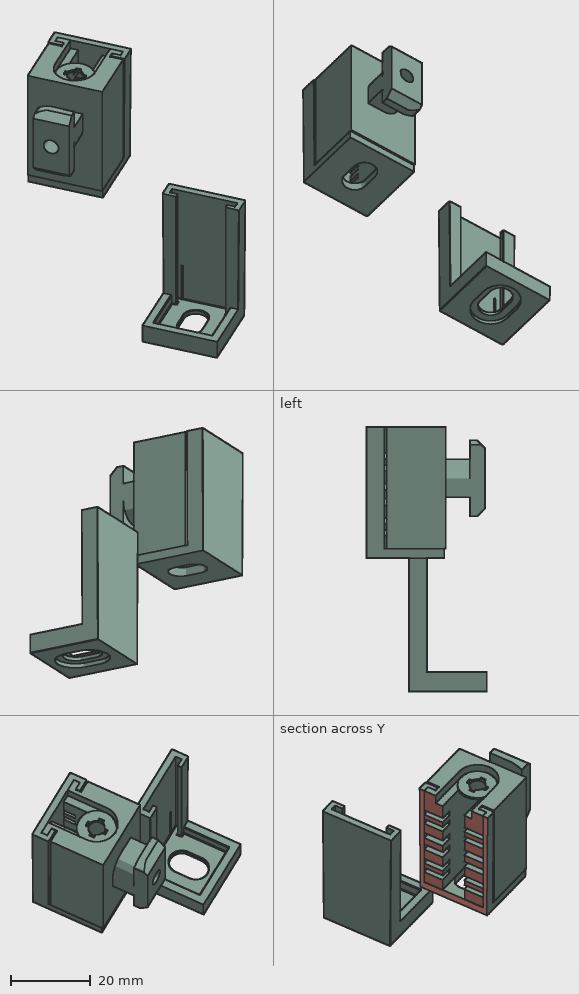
import cadquery as cq
import math


base_width = 20.0
top_width = 20.5
base_length = 19.6
upright_depth = 4.65
upright_height = 30.55
outer_bevel = 0.1
back_wall = 1.85
slot_width = 17.5
slot_depth = 1.65
slot_end = back_wall + slot_depth
mouth_width = 13.15
floor_thickness = 2.3

opening_width = 6.4
opening_length = 10.35
opening_center = 10.15

overall_height = 66.45
cover_z = overall_height - upright_height - floor_thickness

overall_width = 55.15
foot_x = overall_width - top_width
foot_back = 10.6
foot_base_height = 5.0
pocket_width = 15.55
pocket_end = 17.35
edge_bevel = 0.2
rib_width = 0.6
rib_depth = 0.25
rib_height = 10.2
rib_offset = 6.0
recess_depth = 1.1
recess_margin = 2.0

housing_front = 20.0
housing_bottom = cover_z + floor_thickness
neck_width = 12.9
shoulder_gap = 0.45
shoulder_depth = upright_depth + shoulder_gap
seat_diameter = 10.6
seat_height = 2.5
seat_center = 12.9
channel_width = 6.45

window_level = 16.95
window_pairs = [(9.65, 1.3), (6.65, 1.4), (1.9, 1.6)]

washer_diameter = 10.0
washer_recess = 1.9
washer_bore = 4.2
notch_width = 1.3
notch_span = 5.5
notch_depth = 0.25
countersink_diameter = 5.0

nut_width = 9.6
nut_drop = 12.9
stem_radius = nut_width / 2
stem_length = 6.0
head_height = 19.1
head_thickness = 3.85
head_radius = 9.7
head_chamfer = 2.0
nut_bore = 4.0


def block(width, depth_start, depth_end, bottom, top):
    """Box centred on X = 0 between two depths from the back and two levels."""
    size_y = depth_end - depth_start
    centre = (0, -(depth_start + depth_end) / 2, (bottom + top) / 2)
    return cq.Workplane("XY").box(width, size_y, top - bottom).translate(centre)


def leaning_block(depth, height):
    """Block at the back, full bracket height, whose sides lean outward to the top."""
    sides = [
        (-base_width / 2, 0),
        (base_width / 2, 0),
        (top_width / 2, height),
        (-top_width / 2, height),
    ]
    return cq.Workplane("XZ").polyline(sides).close().extrude(depth)


def bracket_blank(base_height):
    """L shape of a base and an upright whose four tall edges are bevelled."""
    height = base_height + upright_height
    upright = leaning_block(upright_depth, height).edges("not (|X or |Y)").chamfer(outer_bevel)
    base_space = block(top_width, upright_depth / 2, base_length, 0, base_height)
    base = leaning_block(base_length, height).intersect(base_space)
    return upright.union(base)


def slot_cutter(height):
    """T-slot with a bevelled mouth, from the base floor to the top of the upright."""
    half_slot = slot_width / 2
    half_mouth = mouth_width / 2
    half_profile = [
        (half_slot, -back_wall),
        (half_slot, -slot_end),
        (half_mouth, -slot_end),
        (half_mouth, -(upright_depth - outer_bevel)),
        (half_mouth + outer_bevel, -upright_depth),
    ]
    other_half = [(-x, y) for x, y in reversed(half_profile)]
    return (
        cq.Workplane("XY", origin=(0, 0, floor_thickness))
        .polyline(half_profile + other_half)
        .close()
        .extrude(height - floor_thickness)
    )


def opening_cutter(margin, height):
    """Oblong prism around the opening axis, larger than the opening by a margin all round."""
    return (
        cq.Workplane("XY")
        .center(0, -opening_center)
        .slot2D(opening_length + 2 * margin, opening_width + 2 * margin, 90)
        .extrude(height)
    )


def make_cover():
    height = floor_thickness + upright_height
    cover = bracket_blank(floor_thickness)
    cover = cover.cut(slot_cutter(height)).cut(opening_cutter(0, floor_thickness))
    return cover.translate((0, 0, cover_z))


def pocket_mouth_bevel():
    """Flared cutter for the three edges around the top of the pocket."""
    size_y = pocket_end - upright_depth
    flare = (
        cq.Workplane("XY", origin=(0, -(pocket_end + upright_depth) / 2, foot_base_height - edge_bevel))
        .rect(pocket_width, size_y)
        .extrude(edge_bevel, taper=-45)
    )
    return flare.intersect(block(base_width, upright_depth, base_length, 0, foot_base_height))


def foot_rib(side):
    """Slim triangular rib low on the back wall of the slot."""
    return (
        cq.Workplane("XY", origin=(side * rib_offset, -back_wall, floor_thickness))
        .polyline([(-rib_width / 2, 0), (rib_width / 2, 0), (0, -rib_depth)])
        .close()
        .extrude(rib_height)
    )


def make_foot():
    height = foot_base_height + upright_height
    pocket = block(pocket_width, upright_depth, pocket_end, floor_thickness, foot_base_height)
    cavity = slot_cutter(height).union(pocket).faces("<Z").chamfer(edge_bevel)
    blank = bracket_blank(foot_base_height).faces("<Z").edges("|Y").chamfer(outer_bevel)
    foot = blank.cut(cavity).cut(pocket_mouth_bevel())

    opening = opening_cutter(0, floor_thickness)
    bevel = (
        cq.Workplane("XY", origin=(0, -opening_center, floor_thickness))
        .slot2D(opening_length + 2 * edge_bevel, opening_width + 2 * edge_bevel, 90)
        .extrude(-edge_bevel, taper=45)
    )
    recess = opening_cutter(recess_margin, recess_depth)
    foot = foot.cut(opening).cut(bevel).cut(recess)

    for side in (-1, 1):
        foot = foot.union(foot_rib(side))
    return foot.translate((foot_x, -foot_back, 0))


def u_cut(width, bottom):
    """Cutter with a round front end, open to the back and the top of the housing."""
    height = overall_height - bottom
    round_end = (
        cq.Workplane("XY", origin=(0, -seat_center, bottom))
        .circle(width / 2)
        .extrude(height)
    )
    return round_end.union(block(width, 0, seat_center, bottom, overall_height))


def make_housing():
    housing = block(base_width, shoulder_depth, housing_front, housing_bottom, overall_height)
    housing = housing.union(block(neck_width, back_wall, shoulder_depth, housing_bottom, overall_height))
    housing = housing.union(block(slot_width, back_wall, slot_end, housing_bottom, overall_height))
    housing = housing.cut(u_cut(seat_diameter, overall_height - seat_height))
    housing = housing.cut(u_cut(channel_width, housing_bottom))
    for offset, height in window_pairs:
        for side in (-1, 1):
            middle = overall_height - window_level + side * offset
            bottom = middle - height / 2
            window = block(base_width, back_wall, shoulder_depth, bottom, bottom + height)
            housing = housing.cut(window)
    return housing


def make_washer():
    thickness = seat_height - washer_recess
    washer = (
        cq.Workplane("XY")
        .circle(washer_diameter / 2)
        .circle(washer_bore / 2)
        .extrude(thickness)
    )
    notch_floor = thickness - notch_depth
    cone = cq.Workplane("XY").add(
        cq.Solid.makeCone(washer_bore / 2, countersink_diameter / 2, notch_floor)
    )
    for angle in (0, 90):
        bar = cq.Workplane("XY").box(notch_span, notch_width, thickness, centered=(True, True, False))
        bar = bar.rotate((0, 0, 0), (0, 0, 1), angle)
        washer = washer.cut(bar.translate((0, 0, notch_floor)))
        washer = washer.cut(bar.intersect(cone))
    return washer.translate((0, -seat_center, overall_height - seat_height))


def twist_outline(height, radius):
    """Rectangle of the nut's width with two opposite corners rounded about its centre, as a wire in XZ."""
    half_width = nut_width / 2
    half_height = height / 2
    arc_x = math.sqrt(radius**2 - half_height**2)
    arc_z = math.sqrt(radius**2 - half_width**2)
    middle_angle = (math.atan2(half_height, arc_x) + math.atan2(arc_z, half_width)) / 2
    middle_x = radius * math.cos(middle_angle)
    middle_z = radius * math.sin(middle_angle)
    return (
        cq.Workplane("XZ")
        .moveTo(-half_width, -half_height)
        .lineTo(arc_x, -half_height)
        .threePointArc((middle_x, -middle_z), (half_width, -arc_z))
        .lineTo(half_width, half_height)
        .lineTo(-arc_x, half_height)
        .threePointArc((-middle_x, middle_z), (-half_width, arc_z))
        .close()
    )


def make_nut():
    length = stem_length + head_thickness
    stem = twist_outline(nut_width, stem_radius).extrude(stem_length)
    head = twist_outline(head_height, head_radius).extrude(head_thickness)
    flat = head_height / 2 - head_chamfer
    profile = [
        (0, -head_height / 2),
        (0, head_height / 2),
        (-(head_thickness - head_chamfer), head_height / 2),
        (-head_thickness, flat),
        (-head_thickness, -flat),
        (-(head_thickness - head_chamfer), -head_height / 2),
    ]
    bevels = cq.Workplane("YZ").polyline(profile).close().extrude(nut_width, both=True)
    head = head.intersect(bevels).translate((0, -stem_length, 0))
    bore = cq.Workplane("XZ").circle(nut_bore / 2).extrude(length)
    nut = stem.union(head).cut(bore)
    return nut.translate((0, -housing_front, overall_height - nut_drop))


cover = make_cover()
housing = make_housing()
washer = make_washer()
nut = make_nut()
foot = make_foot()

result = cq.Compound.makeCompound([cover.val(), housing.val(), washer.val(), nut.val(), foot.val()])